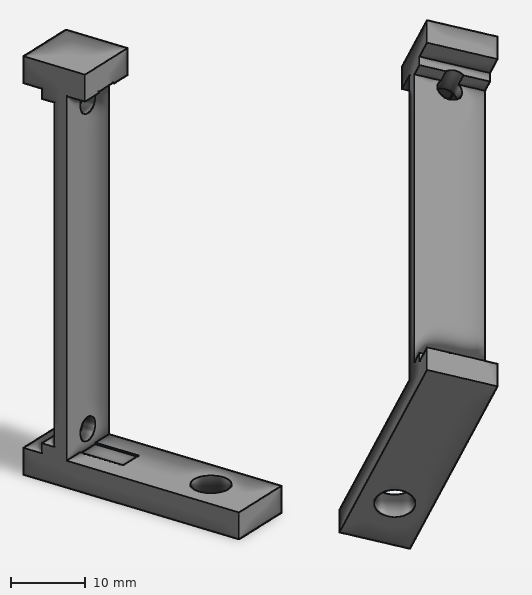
import cadquery as cq

length = 35.0
width = 10.0
height = 62.0

flange_thickness = 4.0
head_length = 10.0
web_front = 5.0
web_thickness = 2.0
web_back = web_front + web_thickness

ledge_depth = 2.0
ledge_height = 1.5

screw_diameter = 3.5
screw_offset = 6.75
screw_heights = (screw_offset, height - screw_offset)

nut_across_corners = 6.8
nut_clearance_length = 7.0

mount_diameter = 5.5
mount_from_end = 8.0


def box(x_start, x_end, z_start, z_end):
    """Full-width block centred on Y, given by its X and Z limits."""
    block = cq.Workplane("XY").box(x_end - x_start, width, z_end - z_start, centered=(False, True, False))
    return block.translate((x_start, 0, z_start))


def cylinder_along_x(diameter, x_start, x_end, z):
    """Cylinder on the part's mid-plane, running along X at height z."""
    profile = cq.Workplane("YZ", origin=(x_start, 0, z)).circle(diameter / 2)
    return profile.extrude(x_end - x_start)


def make_body():
    """Foot, web and head block with the ledges in front of the web."""
    head_bottom = height - flange_thickness
    ledge_front = web_front - ledge_depth
    foot = box(0, length, 0, flange_thickness)
    web = box(web_front, web_back, 0, height)
    head = box(0, head_length, head_bottom, height)
    lower_ledge = box(ledge_front, web_front, flange_thickness, flange_thickness + ledge_height)
    upper_ledge = box(ledge_front, web_front, head_bottom - ledge_height, head_bottom)
    return foot.union(web).union(head).union(lower_ledge).union(upper_ledge)


def hexagon_along_x(across_corners, x_start, x_end, z):
    """Hexagonal prism along X at height z, with two corners pointing along Y."""
    profile = cq.Workplane("YZ", origin=(x_start, 0, z)).polygon(6, across_corners)
    return profile.extrude(x_end - x_start)


def cut_screw_holes(body):
    """Web screw holes and the shallow flat pockets that clear the nuts."""
    nut_end = web_back + nut_clearance_length
    for z in screw_heights:
        body = body.cut(cylinder_along_x(screw_diameter, 0, web_back, z))
        body = body.cut(hexagon_along_x(nut_across_corners, web_back, nut_end, z))
    return body


def cut_mount_hole(body):
    """Vertical hole through the free end of the foot."""
    center = (length - mount_from_end, 0, 0)
    hole = cq.Workplane("XY", origin=center).circle(mount_diameter / 2).extrude(flange_thickness)
    return body.cut(hole)


result = cut_mount_hole(cut_screw_holes(make_body()))